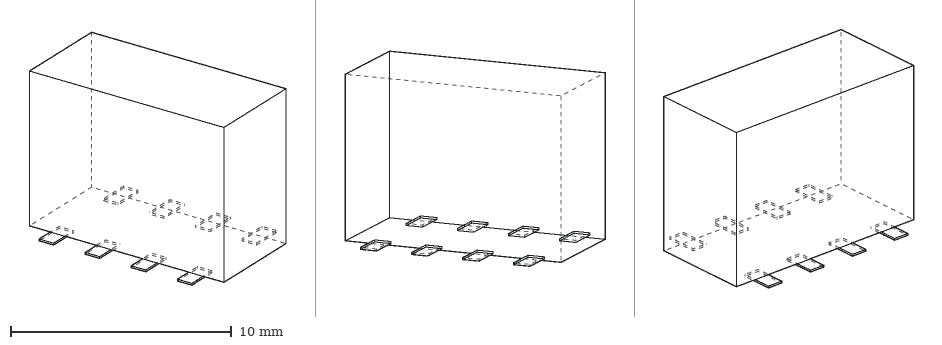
import cadquery as cq

HOUSING_LENGTH = 10.66
HOUSING_WIDTH = 5.0
TOTAL_HEIGHT = 7.85

LEADS_PER_ROW = 4
LEAD_PITCH = 2.53
LEAD_WIDTH = 0.8
LEAD_LENGTH = 1.62
LEAD_THICKNESS = 0.1
LEAD_TIP_SPAN = 6.8

HOUSING_HEIGHT = TOTAL_HEIGHT - LEAD_THICKNESS


def make_housing():
    """Block centred on the origin in X and Y, resting on the lead tops."""
    return (
        cq.Workplane("XY")
        .workplane(offset=LEAD_THICKNESS)
        .rect(HOUSING_LENGTH, HOUSING_WIDTH)
        .extrude(HOUSING_HEIGHT)
    )


def make_lead(x_center, side):
    """Flat lead on the -Y (side = -1) or +Y (side = 1) edge, with its bottom at Z = 0."""
    y_center = side * (LEAD_TIP_SPAN - LEAD_LENGTH) / 2
    return (
        cq.Workplane("XY")
        .center(x_center, y_center)
        .rect(LEAD_WIDTH, LEAD_LENGTH)
        .extrude(LEAD_THICKNESS)
    )


housing = make_housing()

leads = []
for side in (-1, 1):
    for index in range(LEADS_PER_ROW):
        x_center = (index - (LEADS_PER_ROW - 1) / 2) * LEAD_PITCH
        leads.append(make_lead(x_center, side).val())

result = cq.Compound.makeCompound([housing.val(), *leads])